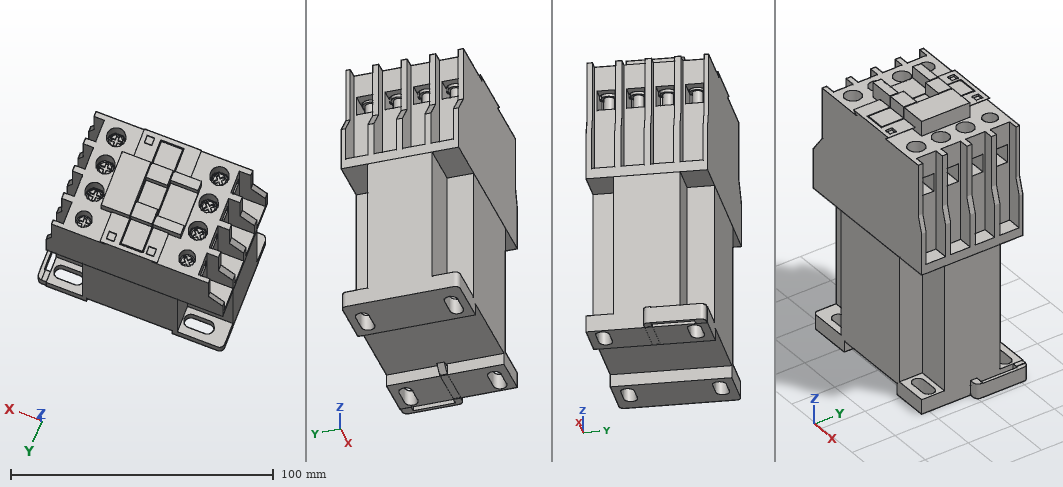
import cadquery as cq


total_height = 120.0
body_length = 72.0
body_width = 47.0
half_width = body_width / 2

base_height = 64.0
foot_height = 6.7
core_start_x = 18.5
core_end_x = 57.2
web_width = 25.8
foot_corner_radius = 2.0
rail_start_x = 20.6
rail_end_x = 55.5
rail_depth = 5.0
foot_slot_width = 5.3
foot_slot_length = 12.0
foot_slot_inset_x = 11.9
foot_slot_spacing = 53.0
foot_slot_inset_y = 5.8

housing_top = 113.3
shoulder_top = 90.0
left_shoulder_bottom = 82.1
right_shoulder_bottom = 82.8
left_top_x = 5.9
right_top_x = 69.8

pole_count = 4
pole_pitch = 11.4
first_pole_y = -16.9
pole_centers = [first_pole_y + i * pole_pitch for i in range(pole_count)]
bay_width = 9.0
bay_floor = 68.2
left_bay_depth = 10.5
right_bay_depth = 6.4
window_width = 7.0
window_bottom = 95.2
window_top = 103.2
left_screw_x = 16.9
right_screw_x = 59.0
screw_hole_diameter = 7.3
small_screw_hole_diameter = 6.4
screw_head_diameter = 6.0
screw_head_bottom = 102.4
screw_head_height = 3.8
screw_head_chamfer = 0.6
screw_shank_diameter = 4.2
cross_length = 3.8
cross_width = 1.1
cross_depth = 1.5
left_cross_angle = 45
right_cross_angle = 0

dovetail_center_x = 38.4
dovetail_top_width = 23.3
dovetail_bottom_width = 19.2
dovetail_top = 114.8
mark_size = 3.0
mark_depth = 1.0
mark_y = 20.0
left_mark_x = 30.5
right_mark_x = 46.7

cap_start_x = 22.0
cap_end_x = 54.4
cap_width = 22.3
cap_notch_width = 14.6

slider_start_x = 33.6
slider_end_x = 42.4
slider_length = 42.7
slider_thickness = 1.2
slider_notch_width = 10.1
slider_gap = 0.4
slider_bottom = dovetail_top - slider_thickness

loop_end_x = 76.0
loop_inner_x = 74.5
loop_end_y = half_width - 0.2
loop_start_y = -0.8
inner_leg_width = 3.0
outer_leg_width = 4.3
loop_corner_radius = 2.0
bow_start_x = 74.0
bow_step = 0.2
tongue_bottom = 0.4
tongue_top = 4.3
hook_tip_x = 51.7
hook_tip_z = 3.4


def block(x0, x1, y0, y1, z0, z1):
    """Box between two opposite corners."""
    return cq.Workplane("XY").box(x1 - x0, y1 - y0, z1 - z0, centered=False).translate((x0, y0, z0))


def centered_block(x0, x1, width, z0, z1):
    """Box that is symmetric about the plane y = 0."""
    return block(x0, x1, -width / 2, width / 2, z0, z1)


def extruded_profile(points, width):
    """Outline of (x, z) points, extruded symmetrically about the plane y = 0."""
    return cq.Workplane("XZ").polyline(points).close().extrude(width / 2, both=True)


def cylinder(x, y, diameter, z0, z1):
    return cq.Workplane("XY", origin=(x, y, z0)).circle(diameter / 2).extrude(z1 - z0)


def tongue():
    """Latch bar that runs through the right foot, with its hook at the rail side."""
    outline = [
        (body_length, tongue_bottom),
        (rail_end_x, tongue_bottom),
        (hook_tip_x, hook_tip_z),
        (rail_end_x, tongue_top),
        (body_length, tongue_top),
    ]
    middle_y = loop_start_y + inner_leg_width / 2
    return extruded_profile(outline, inner_leg_width).translate((0, middle_y, 0))


def make_base():
    foot = centered_block(0, body_length, body_width, 0, foot_height)
    foot = foot.edges("|Z and <X").fillet(foot_corner_radius)
    web = centered_block(0, body_length, web_width, 0, base_height)
    core = centered_block(core_start_x, core_end_x, body_width, 0, base_height)
    base = foot.union(web).union(core)

    base = base.cut(centered_block(rail_start_x, rail_end_x, body_width, 0, rail_depth))

    slot_y = half_width - foot_slot_inset_y
    slot_right_x = foot_slot_inset_x + foot_slot_spacing
    slots = (
        cq.Workplane("XY")
        .pushPoints([(x, y) for x in (foot_slot_inset_x, slot_right_x) for y in (-slot_y, slot_y)])
        .slot2D(foot_slot_length, foot_slot_width)
        .extrude(foot_height)
    )
    return base.cut(slots).cut(tongue())


def terminal_screw(x, y, cross_angle):
    """Cross-recessed screw that stands on the floor of the wire chamber."""
    head_top = screw_head_bottom + screw_head_height
    head = cylinder(x, y, screw_head_diameter, screw_head_bottom, head_top)
    head = head.faces(">Z").chamfer(screw_head_chamfer)
    recess = (
        cq.Workplane("XY", origin=(x, y, head_top))
        .transformed(rotate=(0, 0, cross_angle))
        .rect(cross_length, cross_width)
        .extrude(-cross_depth)
    )
    crossing = recess.rotate((x, y, 0), (x, y, 1), 90)
    shank = cylinder(x, y, screw_shank_diameter, window_bottom, screw_head_bottom)
    return head.cut(recess).cut(crossing).union(shank)


def add_terminal_row(housing, end_x, bay_x, screw_x, cross_angle):
    """Wire bays, wire chambers and screws along one end of the housing."""
    bay_from, bay_to = sorted((end_x, bay_x))
    side = 1 if screw_x > bay_x else -1
    chamber_from, chamber_to = sorted((bay_x, screw_x + side * window_width / 2))
    for y in pole_centers:
        is_last = y == pole_centers[-1]
        hole_diameter = small_screw_hole_diameter if is_last else screw_hole_diameter
        bay = centered_block(bay_from, bay_to, bay_width, bay_floor, housing_top)
        chamber = centered_block(chamber_from, chamber_to, window_width, window_bottom, window_top)
        hole = cylinder(screw_x, y, hole_diameter, screw_head_bottom, housing_top)
        housing = housing.cut(bay.union(chamber).translate((0, y, 0))).cut(hole)
        housing = housing.union(terminal_screw(screw_x, y, cross_angle))
    return housing


def dovetail():
    top_half = dovetail_top_width / 2
    bottom_half = dovetail_bottom_width / 2
    outline = [
        (dovetail_center_x - bottom_half, housing_top),
        (dovetail_center_x + bottom_half, housing_top),
        (dovetail_center_x + top_half, dovetail_top),
        (dovetail_center_x - top_half, dovetail_top),
    ]
    rail = extruded_profile(outline, body_width)
    marks = (
        cq.Workplane("XY", origin=(0, 0, dovetail_top))
        .pushPoints([(left_mark_x, mark_y), (right_mark_x, mark_y), (right_mark_x, -mark_y)])
        .rect(mark_size, mark_size)
        .extrude(-mark_depth)
    )
    return rail.cut(marks)


def cap_block():
    """Outer block of the cap, which also interrupts the dovetail."""
    return centered_block(cap_start_x, cap_end_x, cap_width, housing_top, total_height)


def slider_pocket():
    """Clearance for the slider, in the dovetail and in the cap."""
    return centered_block(
        slider_start_x - slider_gap,
        slider_end_x + slider_gap,
        slider_length + 2 * slider_gap,
        slider_bottom,
        total_height,
    )


def make_housing():
    outline = [
        (0, base_height),
        (body_length, base_height),
        (body_length, right_shoulder_bottom),
        (right_top_x, shoulder_top),
        (right_top_x, housing_top),
        (left_top_x, housing_top),
        (left_top_x, shoulder_top),
        (0, left_shoulder_bottom),
    ]
    housing = extruded_profile(outline, body_width)
    housing = add_terminal_row(housing, 0, left_bay_depth, left_screw_x, left_cross_angle)
    right_bay_x = body_length - right_bay_depth
    housing = add_terminal_row(housing, body_length, right_bay_x, right_screw_x, right_cross_angle)
    return housing.union(dovetail().cut(cap_block())).cut(slider_pocket())


def make_cap():
    """Block over the slider, notched down to the dovetail level on the left."""
    notch = centered_block(cap_start_x, slider_start_x, cap_notch_width, dovetail_top, total_height)
    return cap_block().cut(notch).cut(slider_pocket())


def make_slider():
    """Flat bar with two raised walls where it passes the cap."""
    bar = centered_block(slider_start_x, slider_end_x, slider_length, slider_bottom, dovetail_top)
    walls = centered_block(slider_start_x, slider_end_x, cap_width, slider_bottom, total_height)
    notch = centered_block(slider_start_x, slider_end_x, slider_notch_width, dovetail_top, total_height)
    return bar.union(walls.cut(notch))


def make_latch():
    """Pull loop outside the right foot, on a hooked tongue."""
    loop = block(body_length, loop_end_x, loop_start_y, loop_end_y, 0, foot_height)
    loop = loop.edges("|Z and >X").fillet(loop_corner_radius)
    window_start_y = loop_start_y + inner_leg_width
    window_end_y = loop_end_y - outer_leg_width
    window = block(body_length, loop_inner_x, window_start_y, window_end_y, 0, foot_height)
    step = block(bow_start_x, loop_end_x, window_start_y, loop_end_y, foot_height - bow_step, foot_height)
    return loop.cut(window).cut(step).union(tongue())


base = make_base()
housing = make_housing()
cap = make_cap()
slider = make_slider()
latch = make_latch()

result = cq.Compound.makeCompound([base.val(), housing.val(), cap.val(), slider.val(), latch.val()])